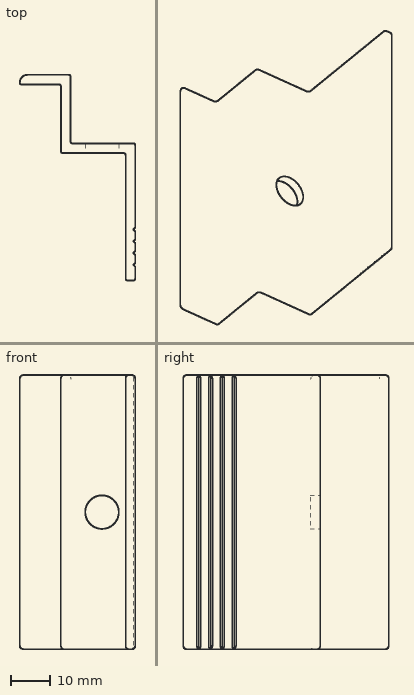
import cadquery as cq
import math

width = 29.5
depth = 52.5
height = 70.0
sheet = 2.5

upright_right = 13.0
upright_left = upright_right - sheet
leg_left = width - sheet
shelf_back = -17.5
shelf_front = shelf_back - sheet

lead_in_radius = 2.0
corner_radius = sheet - lead_in_radius
rim_radius = 0.95

min_run = 1e-6

hole_diameter = 8.5
hole_x = 21.0
hole_z = height / 2

groove_count = 4
groove_pitch = 3.0
groove_width = 1.0
groove_depth = 0.5
end_to_groove = 4.0
first_groove_y = -depth + end_to_groove


def rounded_outline(corners):
    """Closed wire through right-angle corners given as (x, y, radius)."""
    points = []
    for index, (x, y, radius) in enumerate(corners):
        x_before, y_before, _ = corners[index - 1]
        x_after, y_after, _ = corners[(index + 1) % len(corners)]
        corner = cq.Vector(x, y)
        to_before = (cq.Vector(x_before, y_before) - corner).normalized()
        to_after = (cq.Vector(x_after, y_after) - corner).normalized()
        bisector = to_before + to_after
        points.append((
            corner + to_before * radius,
            corner + bisector * (radius * (1 - math.sqrt(0.5))),
            corner + to_after * radius,
        ))

    edges = []
    for index, (start, middle, end) in enumerate(points):
        edges.append(cq.Edge.makeThreePointArc(start, middle, end))
        next_start = points[(index + 1) % len(points)][0]
        if (next_start - end).Length > min_run:
            edges.append(cq.Edge.makeLine(end, next_start))
    return cq.Wire.assembleEdges(edges)


def bracket_body():
    """Extrude the stepped outline with rounded corners, then round both end rims."""
    corners = [
        (0, 0, lead_in_radius),
        (upright_right, 0, corner_radius),
        (upright_right, shelf_back, corner_radius),
        (width, shelf_back, corner_radius),
        (width, -depth, corner_radius),
        (leg_left, -depth, corner_radius),
        (leg_left, shelf_front, corner_radius),
        (upright_left, shelf_front, corner_radius),
        (upright_left, -sheet, corner_radius),
        (0, -sheet, corner_radius),
    ]
    body = cq.Workplane("XY").add(rounded_outline(corners)).toPending().extrude(height)
    return body.faces("<Z or >Z").edges().fillet(rim_radius)


def shelf_hole():
    """Cylinder that passes through the shelf along Y."""
    return (
        cq.Workplane("XZ", origin=(hole_x, shelf_back, hole_z))
        .circle(hole_diameter / 2)
        .extrude(sheet)
    )


def groove(y):
    """Full-height V groove centred at y on the outer face of the long leg."""
    half = groove_width / 2
    return (
        cq.Workplane("XY")
        .polyline([(width, y - half), (width - groove_depth, y), (width, y + half)])
        .close()
        .extrude(height)
    )


result = bracket_body().cut(shelf_hole())
for index in range(groove_count):
    result = result.cut(groove(first_groove_y + index * groove_pitch))